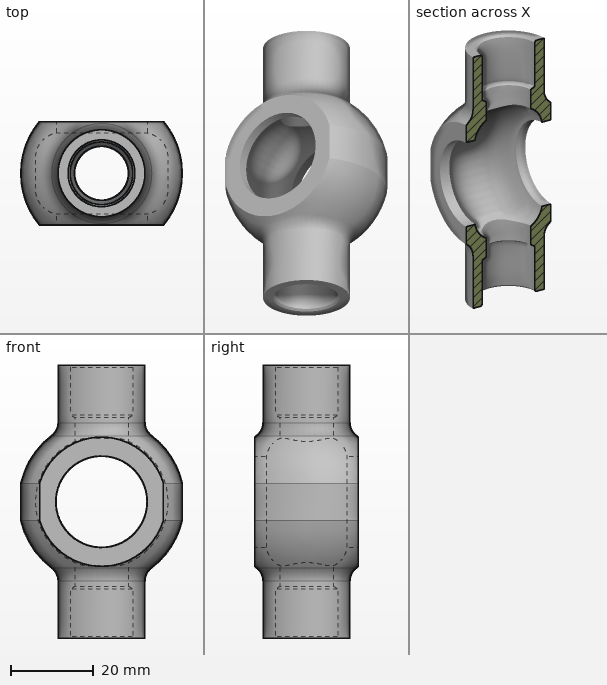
import cadquery as cq
import math

ball_radius = 20.0
waist_diameter = 39.0
body_width = 25.0

overall_height = 66.0
neck_diameter = 21.0
neck_blend_radius = 4.0

through_diameter = 13.0
socket_diameter = 15.15
socket_depth = 12.0
drill_point_angle = 118.0
mouth_chamfer = 0.5

window_diameter = 22.0
chamber_diameter = 32.0
chamber_straight_width = 7.7
shoulder_radius = 6.0

half_height = overall_height / 2
neck_radius = neck_diameter / 2


def make_body():
    """Trimmed ball and both necks, turned around Z, then cut to width."""
    waist_radius = waist_diameter / 2
    waist_half_height = math.sqrt(ball_radius**2 - waist_radius**2)

    blend_center_x = neck_radius + neck_blend_radius
    center_distance = ball_radius + neck_blend_radius
    blend_center_z = math.sqrt(center_distance**2 - blend_center_x**2)
    blend_angle = math.atan2(blend_center_z, blend_center_x)
    ball_tangent_x = ball_radius * math.cos(blend_angle)
    ball_tangent_z = ball_radius * math.sin(blend_angle)
    blend_mid_x = blend_center_x - neck_blend_radius * math.cos(blend_angle / 2)
    blend_mid_z = blend_center_z - neck_blend_radius * math.sin(blend_angle / 2)

    waist_angle = math.atan2(waist_half_height, waist_radius)
    ball_mid_angle = (waist_angle + blend_angle) / 2
    ball_mid_x = ball_radius * math.cos(ball_mid_angle)
    ball_mid_z = ball_radius * math.sin(ball_mid_angle)

    profile = (
        cq.Workplane("XZ")
        .moveTo(0, -half_height)
        .lineTo(neck_radius, -half_height)
        .lineTo(neck_radius, -blend_center_z)
        .threePointArc((blend_mid_x, -blend_mid_z), (ball_tangent_x, -ball_tangent_z))
        .threePointArc((ball_mid_x, -ball_mid_z), (waist_radius, -waist_half_height))
        .lineTo(waist_radius, waist_half_height)
        .threePointArc((ball_mid_x, ball_mid_z), (ball_tangent_x, ball_tangent_z))
        .threePointArc((blend_mid_x, blend_mid_z), (neck_radius, blend_center_z))
        .lineTo(neck_radius, half_height)
        .lineTo(0, half_height)
        .close()
    )
    turned = profile.revolve(360, (0, 0, 0), (0, 1, 0))
    slab = cq.Workplane("XY").box(waist_diameter, body_width, overall_height)
    return turned.intersect(slab)


def make_neck_bore():
    """Through bore with a chamfered, drill-pointed socket at each end."""
    through_radius = through_diameter / 2
    socket_radius = socket_diameter / 2
    mouth_radius = socket_radius + mouth_chamfer
    socket_end_z = half_height - socket_depth
    half_point_angle = math.radians(drill_point_angle / 2)
    point_end_z = socket_end_z - (socket_radius - through_radius) / math.tan(half_point_angle)

    upper_half = (
        cq.Workplane("XZ")
        .polyline([
            (0, 0),
            (through_radius, 0),
            (through_radius, point_end_z),
            (socket_radius, socket_end_z),
            (socket_radius, half_height - mouth_chamfer),
            (mouth_radius, half_height),
            (0, half_height),
        ])
        .close()
        .revolve(360, (0, 0, 0), (0, 1, 0))
    )
    return upper_half.union(upper_half.mirror("XY"))


def make_window_bore():
    """Cross bore along Y with a round-shouldered chamber in the middle."""
    window_radius = window_diameter / 2
    chamber_radius = chamber_diameter / 2
    straight_y = chamber_straight_width / 2
    face_y = body_width / 2

    shoulder_drop = chamber_radius - window_radius
    shoulder_angle = math.acos(1 - shoulder_drop / shoulder_radius)
    chamber_y = straight_y + shoulder_radius * math.sin(shoulder_angle)
    mid_y = straight_y + shoulder_radius * math.sin(shoulder_angle / 2)
    mid_radius = chamber_radius - shoulder_radius * (1 - math.cos(shoulder_angle / 2))

    return (
        cq.Workplane("XY")
        .moveTo(0, -face_y)
        .lineTo(window_radius, -face_y)
        .lineTo(window_radius, -chamber_y)
        .threePointArc((mid_radius, -mid_y), (chamber_radius, -straight_y))
        .lineTo(chamber_radius, straight_y)
        .threePointArc((mid_radius, mid_y), (window_radius, chamber_y))
        .lineTo(window_radius, face_y)
        .lineTo(0, face_y)
        .close()
        .revolve(360, (0, 0, 0), (0, 1, 0))
    )


result = make_body().cut(make_neck_bore()).cut(make_window_bore())